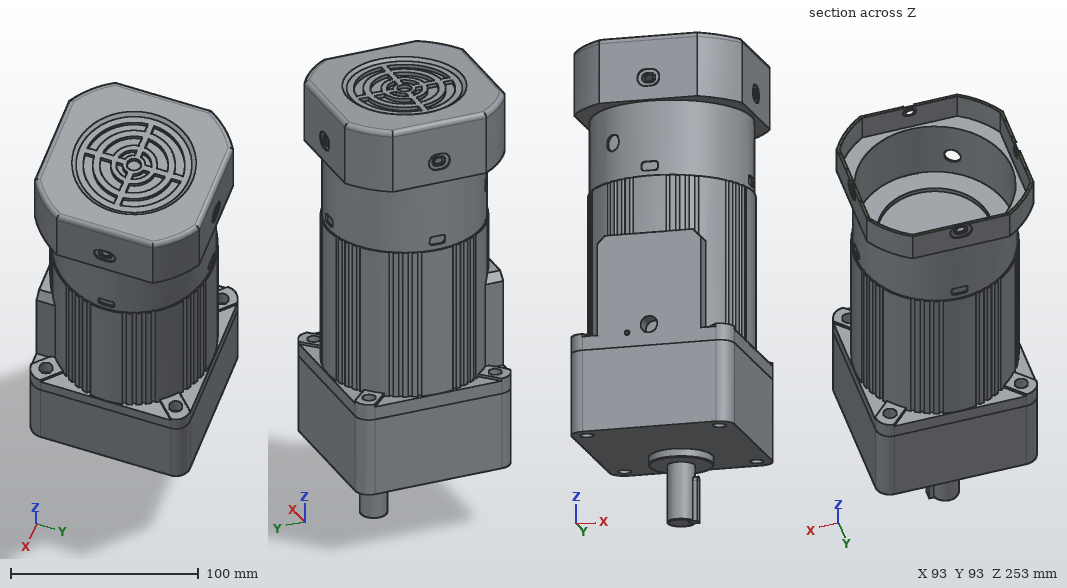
import cadquery as cq
import math

BOSS_BOTTOM_Z = 32.0
GEARHEAD_BOTTOM_Z = 36.5
GEARHEAD_TOP_Z = 81.5
FLANGE_TOP_Z = 89.0
PAD_TOP_Z = 90.5
BOX_TOP_Z = 144.0
STATOR_TOP_Z = 175.5
SPIGOT_TOP_Z = 184.0
CAP_BOTTOM_Z = 217.0
CAP_TOP_Z = 253.0

SQUARE_SIZE = 90.0
SQUARE_CORNER_RADIUS = 8.0
MOUNT_HOLE_OFFSET = 36.7
MOUNT_HOLE_DIAMETER = 7.0

SHAFT_OFFSET_Y = 18.0
SHAFT_DIAMETER = 15.0
SHAFT_CHAMFER = 0.5
BOSS_DIAMETER = 34.7
BOSS_CHAMFER = 0.5

KEY_WIDTH = 5.0
KEY_LENGTH = 25.0
KEY_INNER_X = 4.5
KEY_OUTER_X = 9.5

STATOR_RADIUS = 44.8
GROOVE_RADIUS = 1.05
GROOVES_PER_GROUP = 4
GROOVE_PITCH_ANGLE = 6.6
GROOVE_GROUP_CENTRE_ANGLE = 23.0
SPIGOT_RADIUS = 43.0
SPIGOT_RECESS_RADIUS = 30.9
SPIGOT_RECESS_DEPTH = 2.5

BOX_WIDTH = 57.2
BOX_CHAMFER = 4.3
CABLE_HOLE_DIAMETER = 9.0
CABLE_HOLE_Z = 93.0
CABLE_HOLE_DEPTH = 10.0
SCREW_HOLE_DIAMETER = 2.5
SCREW_HOLE_X = -12.1
SCREW_HOLE_Z = 89.3
SCREW_HOLE_DEPTH = 5.0

SKIRT_RADIUS = 44.0
SIDE_COUNT = 4
SKIRT_SLOT_WIDTH = 9.0
SKIRT_SLOT_HEIGHT = 5.0
SKIRT_SLOT_CORNER = 1.8
SKIRT_SLOT_Z = 181.1
SKIRT_HOLE_DIAMETER = 9.0
SKIRT_HOLE_ANGLE = -120
SKIRT_HOLE_Z = 197.0

CAP_SIZE = 93.0
CAP_CORNER_RADIUS = 54.0
CAP_FILLET = 2.8
CAP_WALL = 1.8

DISH_TOP_RADIUS = 33.1
DISH_FLOOR_RADIUS = 30.9
DISH_DEPTH = 1.5
GRILLE_SLOT_DEPTH = 2.0
GRILLE_BACKING = 1.8
DISH_FLOOR_Z = CAP_TOP_Z - DISH_DEPTH
GRILLE_SLOT_FLOOR_Z = DISH_FLOOR_Z - GRILLE_SLOT_DEPTH
GRILLE_SLOT_RADII = [(6.0, 9.4), (12.5, 18.2), (22.0, 27.0)]
SPOKE_WIDTH = 3.5
HUB_HOLE_DIAMETER = 7.5

SIDE_OPENING_Z = 229.5
SIDE_OPENING_STEPS = [(12.1, 9.4, 0.8), (7.3, 5.3, 1.3), (4.8, 3.5, 2.5)]


def cylinder(radius, bottom, top):
    return cq.Workplane("XY").workplane(offset=bottom).circle(radius).extrude(top - bottom)


def square_block(bottom, top):
    block = cq.Workplane("XY").workplane(offset=bottom).rect(SQUARE_SIZE, SQUARE_SIZE).extrude(top - bottom)
    return block.edges("|Z").fillet(SQUARE_CORNER_RADIUS)


def mount_holes(bottom, top):
    spacing = 2 * MOUNT_HOLE_OFFSET
    holes = cq.Workplane("XY").workplane(offset=bottom).rect(spacing, spacing, forConstruction=True)
    return holes.vertices().circle(MOUNT_HOLE_DIAMETER / 2).extrude(top - bottom)


def around_axis(shape):
    """Copies of a shape turned to each of the four sides."""
    step = 360 / SIDE_COUNT
    return [shape.rotate((0, 0, 0), (0, 0, 1), side * step) for side in range(SIDE_COUNT)]


def make_key():
    round_centre_z = KEY_LENGTH - KEY_WIDTH / 2
    outline = (
        cq.Workplane("YZ")
        .workplane(offset=KEY_INNER_X)
        .moveTo(SHAFT_OFFSET_Y - KEY_WIDTH / 2, 0)
        .lineTo(SHAFT_OFFSET_Y + KEY_WIDTH / 2, 0)
        .lineTo(SHAFT_OFFSET_Y + KEY_WIDTH / 2, round_centre_z)
        .threePointArc((SHAFT_OFFSET_Y, KEY_LENGTH), (SHAFT_OFFSET_Y - KEY_WIDTH / 2, round_centre_z))
        .close()
    )
    return outline.extrude(KEY_OUTER_X - KEY_INNER_X)


def make_gearhead(key):
    case = square_block(GEARHEAD_BOTTOM_Z, GEARHEAD_TOP_Z)
    boss = cylinder(BOSS_DIAMETER / 2, BOSS_BOTTOM_Z, GEARHEAD_BOTTOM_Z).faces("<Z").chamfer(BOSS_CHAMFER)
    shaft = cylinder(SHAFT_DIAMETER / 2, 0, GEARHEAD_BOTTOM_Z).faces("<Z").chamfer(SHAFT_CHAMFER)
    output = boss.union(shaft).translate((0, SHAFT_OFFSET_Y, 0))
    gearhead = case.union(output)
    return gearhead.cut(mount_holes(GEARHEAD_BOTTOM_Z, GEARHEAD_TOP_Z)).cut(key)


def make_flange():
    flange = square_block(GEARHEAD_TOP_Z, FLANGE_TOP_Z)
    pad_width = SQUARE_CORNER_RADIUS * math.sqrt(2)
    strips = cq.Workplane("XY").workplane(offset=FLANGE_TOP_Z)
    strips = strips.rect(2 * SQUARE_SIZE, pad_width).extrude(PAD_TOP_Z - FLANGE_TOP_Z)
    strips = strips.union(strips.rotate((0, 0, 0), (0, 0, 1), 90)).rotate((0, 0, 0), (0, 0, 1), 45)
    pads = square_block(FLANGE_TOP_Z, PAD_TOP_Z).intersect(strips)
    return flange.union(pads).cut(mount_holes(GEARHEAD_TOP_Z, PAD_TOP_Z))


def groove_angles():
    """Angles of all grooves: two mirrored groups in each quarter turn."""
    angles = []
    for side in range(SIDE_COUNT):
        for mirror in (-1, 1):
            for index in range(GROOVES_PER_GROUP):
                shift = (index - (GROOVES_PER_GROUP - 1) / 2) * GROOVE_PITCH_ANGLE
                angles.append(side * 360 / SIDE_COUNT + mirror * (GROOVE_GROUP_CENTRE_ANGLE + shift))
    return angles


def make_stator():
    core = cylinder(STATOR_RADIUS, GEARHEAD_TOP_Z, STATOR_TOP_Z)
    centres = []
    for angle in groove_angles():
        turn = math.radians(angle)
        centres.append((STATOR_RADIUS * math.cos(turn), STATOR_RADIUS * math.sin(turn)))
    grooves = cq.Workplane("XY").workplane(offset=FLANGE_TOP_Z).pushPoints(centres).circle(GROOVE_RADIUS)
    core = core.cut(grooves.extrude(STATOR_TOP_Z - FLANGE_TOP_Z))
    recess_floor = SPIGOT_TOP_Z - SPIGOT_RECESS_DEPTH
    spigot = cylinder(SPIGOT_RADIUS, STATOR_TOP_Z, SPIGOT_TOP_Z)
    return core.union(spigot).cut(cylinder(SPIGOT_RECESS_RADIUS, recess_floor, SPIGOT_TOP_Z))


def make_terminal_box():
    depth = SQUARE_SIZE / 2
    height = BOX_TOP_Z - GEARHEAD_TOP_Z
    box = cq.Workplane("XY").box(BOX_WIDTH, depth, height, centered=(True, False, False))
    box = box.translate((0, -depth, GEARHEAD_TOP_Z))
    return box.faces(">Z").edges("|Y").chamfer(BOX_CHAMFER)


def front_hole(x, z, diameter, depth):
    """Blind hole drilled in the +Y direction from the flush front face."""
    front = cq.Workplane("XZ", origin=(0, -SQUARE_SIZE / 2, 0))
    return front.center(x, z).circle(diameter / 2).extrude(-depth)


def make_motor():
    motor = make_stator().union(make_terminal_box()).union(make_flange())
    motor = motor.cut(front_hole(0, CABLE_HOLE_Z, CABLE_HOLE_DIAMETER, CABLE_HOLE_DEPTH))
    return motor.cut(front_hole(SCREW_HOLE_X, SCREW_HOLE_Z, SCREW_HOLE_DIAMETER, SCREW_HOLE_DEPTH))


def rounded_square(size, corner_radius, bottom, top):
    """Square block whose corners are trimmed by a large cylinder."""
    block = cq.Workplane("XY").workplane(offset=bottom).rect(size, size).extrude(top - bottom)
    return block.intersect(cylinder(corner_radius, bottom, top))


def cap_block(size, corner_radius, bottom, top):
    """Rounded square block with its top rim filleted."""
    return rounded_square(size, corner_radius, bottom, top).faces(">Z").edges().fillet(CAP_FILLET)


def dish_cone(floor_radius, top_radius, floor_z, top_z):
    axis_point = cq.Vector(0, 0, floor_z)
    return cq.Workplane(cq.Solid.makeCone(floor_radius, top_radius, top_z - floor_z, pnt=axis_point))


def cap_cavity():
    """Inside of the cap, with room left for the plate under the dish."""
    top = CAP_TOP_Z - CAP_WALL
    cavity = cap_block(
        CAP_SIZE - 2 * CAP_WALL, CAP_CORNER_RADIUS - CAP_WALL, CAP_BOTTOM_Z + CAP_WALL, top
    )
    plate_bottom = GRILLE_SLOT_FLOOR_Z - GRILLE_BACKING
    plate = dish_cone(DISH_FLOOR_RADIUS + CAP_WALL, DISH_TOP_RADIUS + CAP_WALL, plate_bottom, top)
    return cavity.cut(plate)


def make_cap():
    cap = cap_block(CAP_SIZE, CAP_CORNER_RADIUS, CAP_BOTTOM_Z, CAP_TOP_Z)
    dish = dish_cone(DISH_FLOOR_RADIUS, DISH_TOP_RADIUS, DISH_FLOOR_Z, CAP_TOP_Z)
    return cap.cut(cap_cavity()).cut(dish).cut(grille_recesses(GRILLE_SLOT_FLOOR_Z, CAP_TOP_Z))


def grille_recesses(bottom, top):
    spokes = cq.Workplane("XY").workplane(offset=bottom).rect(CAP_SIZE, SPOKE_WIDTH).extrude(top - bottom)
    spokes = spokes.union(spokes.rotate((0, 0, 0), (0, 0, 1), 90))
    recesses = cylinder(HUB_HOLE_DIAMETER / 2, bottom, top)
    for inner, outer in GRILLE_SLOT_RADII:
        ring = cylinder(outer, bottom, top).cut(cylinder(inner, bottom, top))
        recesses = recesses.union(ring.cut(spokes))
    return recesses


def side_opening():
    """Stepped obround opening in the -Y face of the cap."""
    face = cq.Workplane("XZ", origin=(0, -CAP_SIZE / 2, SIDE_OPENING_Z))
    opening = None
    for width, height, depth in SIDE_OPENING_STEPS:
        step = face.slot2D(width, height).extrude(-depth)
        opening = step if opening is None else opening.union(step)
    return opening


def skirt_slot():
    """Rounded window through the -Y side of the skirt."""
    window = cq.Workplane("XZ", origin=(0, 0, SKIRT_SLOT_Z)).rect(SKIRT_SLOT_WIDTH, SKIRT_SLOT_HEIGHT)
    return window.extrude(CAP_SIZE / 2).edges("|Y").fillet(SKIRT_SLOT_CORNER)


def skirt_hole():
    """Round hole through one side of the skirt, pointing at the axis."""
    drill = cq.Workplane("YZ", origin=(0, 0, SKIRT_HOLE_Z)).circle(SKIRT_HOLE_DIAMETER / 2)
    return drill.extrude(CAP_SIZE / 2).rotate((0, 0, 0), (0, 0, 1), SKIRT_HOLE_ANGLE)


def make_fan_cover():
    skirt = cylinder(SKIRT_RADIUS, STATOR_TOP_Z, CAP_BOTTOM_Z)
    cover = make_cap().union(skirt)
    cover = cover.cut(cylinder(SPIGOT_RADIUS, STATOR_TOP_Z, CAP_BOTTOM_Z + CAP_WALL))
    cover = cover.cut(skirt_hole())
    for opening in around_axis(side_opening()) + around_axis(skirt_slot()):
        cover = cover.cut(opening)
    return cover


key = make_key()
gearhead = make_gearhead(key)
motor = make_motor()
fan_cover = make_fan_cover()

result = cq.Compound.makeCompound([gearhead.val(), key.val(), motor.val(), fan_cover.val()])